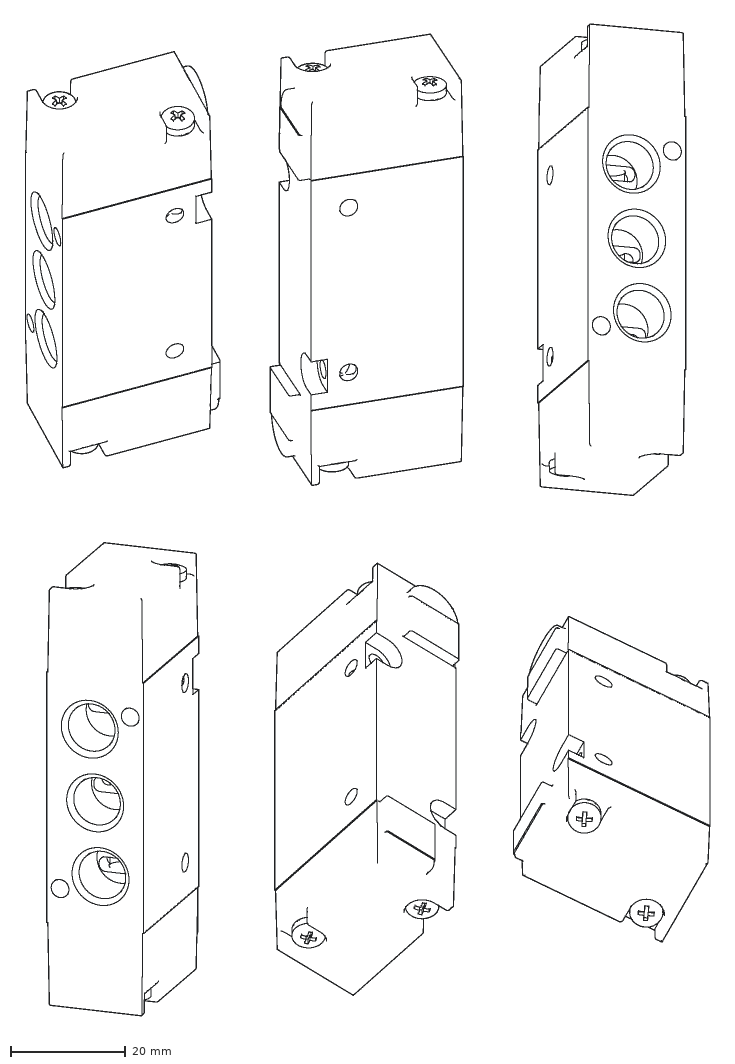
import cadquery as cq
import math

TOTAL_HEIGHT = 77
BODY_WIDTH = 18.1
BODY_DEPTH = 28.0
BODY_HEIGHT = 46.2
TOTAL_DEPTH = 30
FRONT_Y = -TOTAL_DEPTH / 2
BACK_Y = FRONT_Y + BODY_DEPTH
MID_Y = (FRONT_Y + BACK_Y) / 2

CAP_HEIGHT = (TOTAL_HEIGHT - BODY_HEIGHT) / 2
CAP_WIDTH = 17.7
CAP_DRAFT = 0.8
DRAFT_SHIFT = CAP_HEIGHT * math.tan(math.radians(CAP_DRAFT))
CAP_EDGE_FILLET = 0.4

SCREW_X = 5.5
SCREW_Y = 9.0
RECESS_RADIUS = 3.15
RECESS_DEPTH = 3.55
RECESS_FILLET = 0.55
HEAD_RADIUS = 2.9
HEAD_RIM_HEIGHT = 1.55
HEAD_HEIGHT = 2.3
CROSS_LENGTH = 2.8
CROSS_WIDTH = 0.7
CROSS_DEPTH = 1.4
CROSS_ANGLE = 23

PAD_THICKNESS = TOTAL_DEPTH - BODY_DEPTH
PAD_OUTER_X = -8.25
PAD_HEIGHT = 9.0
LUG_RADIUS = 5.55
LUG_THICKNESS = 1.8
LUG_X = PAD_OUTER_X + LUG_RADIUS
PAD_FILLET = 0.4
PAD_ROOT_FILLET = 0.3

PORT_DIAMETER = 8.7
PORT_MOUTH_DIAMETER = 10.6
PORT_CHAMFER = (PORT_MOUTH_DIAMETER - PORT_DIAMETER) / 2
PORT_DEPTH = 10
SLIVER = 0.001
PORT_PITCH = 13.5
PORT_SHIFT = 1.0

SLOT_LENGTH = 7.85
SLOT_HEIGHT = 2.7
SLOT_CORNER = 1.15
SLOT_PITCH = 14.6
SPOOL_RADIUS = 2.4

HOLE_DIAMETER = 3.3
HOLE_Z = 16.55
HOLE_X = 6.55
SIDE_HOLE_Y = FRONT_Y + 21.1
SPOT_WIDTH = 6.6
SPOT_DEPTH = 3.0


def y_cylinder(diameter, x, z, start, length):
    """Cylinder along +Y from the plane y = start."""
    plane = cq.Workplane("XZ", origin=(x, start, z))
    return plane.circle(diameter / 2).extrude(-length)


def screw_recess(side):
    """U-shaped pocket in the top of the cap, open to the side face."""
    run_out = BODY_WIDTH
    floor = TOTAL_HEIGHT / 2 - RECESS_DEPTH
    base = cq.Workplane("XY", origin=(side * SCREW_X, side * SCREW_Y, floor))
    channel = base.center(side * run_out / 2, 0).rect(run_out, 2 * RECESS_RADIUS).extrude(RECESS_DEPTH)
    return base.circle(RECESS_RADIUS).extrude(RECESS_DEPTH).union(channel)


def recess_mouth(side):
    """Selector for the rim of a recess, on the top face and on the side face."""
    margin = 0.1
    top = TOTAL_HEIGHT / 2
    wall_y = MID_Y + side * SCREW_Y
    reach = RECESS_RADIUS + margin
    far_corner = (side * BODY_WIDTH, wall_y + reach, top + margin)
    rim_corner = (side * (SCREW_X - reach), wall_y - reach, top - margin)
    side_corner = (side * (CAP_WIDTH / 2 - 2 * DRAFT_SHIFT), wall_y - reach, top - RECESS_DEPTH - margin)
    rim = cq.selectors.BoxSelector(rim_corner, far_corner)
    side_opening = cq.selectors.BoxSelector(side_corner, far_corner)
    return rim + side_opening


def screw_head(side):
    """Domed screw head with a cross recess, standing on the pocket floor."""
    dome_height = HEAD_HEIGHT - HEAD_RIM_HEIGHT
    sphere_radius = (HEAD_RADIUS**2 + dome_height**2) / (2 * dome_height)
    middle = HEAD_RADIUS / 2
    middle_height = HEAD_HEIGHT - sphere_radius + math.sqrt(sphere_radius**2 - middle**2)
    head = (
        cq.Workplane("XZ")
        .lineTo(HEAD_RADIUS, 0)
        .lineTo(HEAD_RADIUS, HEAD_RIM_HEIGHT)
        .threePointArc((middle, middle_height), (0, HEAD_HEIGHT))
        .close()
        .revolve(360, (0, 0, 0), (0, 1, 0))
    )
    cross_base = cq.Workplane("XY", origin=(0, 0, HEAD_HEIGHT - CROSS_DEPTH))
    for angle in (CROSS_ANGLE, CROSS_ANGLE + 90):
        arm = cross_base.rect(CROSS_LENGTH, CROSS_WIDTH).extrude(CROSS_DEPTH)
        head = head.cut(arm.rotate((0, 0, 0), (0, 0, 1), angle))
    return head.translate((side * SCREW_X, side * SCREW_Y, TOTAL_HEIGHT / 2 - RECESS_DEPTH))


def back_pad():
    """Rectangular pad with a round lug above it, both rooted inside the cap."""
    root = 1.55
    pad = (
        cq.Workplane("XY", origin=(LUG_X, BACK_Y - root, BODY_HEIGHT / 2))
        .box(2 * LUG_RADIUS, PAD_THICKNESS + root, PAD_HEIGHT, centered=(True, False, False))
        .edges("|Z and >Y")
        .fillet(PAD_FILLET)
    )
    lug_z = BODY_HEIGHT / 2 + PAD_HEIGHT
    lug = y_cylinder(2 * LUG_RADIUS, LUG_X, lug_z, BACK_Y - root, LUG_THICKNESS + root)
    return pad.union(lug.faces(">Y").edges().fillet(PAD_FILLET))


def pad_root():
    """Selector for the edges where the pad and lug meet the back of the cap."""
    margin = 0.1
    bottom = BODY_HEIGHT / 2 + margin
    reach = LUG_RADIUS + margin
    return cq.selectors.BoxSelector(
        (LUG_X - reach, BACK_Y - 2 * DRAFT_SHIFT, bottom),
        (LUG_X + reach, BACK_Y - margin / 2, bottom + PAD_HEIGHT + LUG_RADIUS),
    )


def top_cap():
    """Drafted upper cap with its screws and back pad."""
    cap = (
        cq.Workplane("XY", origin=(0, MID_Y, BODY_HEIGHT / 2))
        .rect(CAP_WIDTH, BODY_DEPTH)
        .extrude(CAP_HEIGHT, taper=CAP_DRAFT)
    )
    for side in (-1, 1):
        cap = cap.cut(screw_recess(side).translate((0, MID_Y, 0)))
        cap = cap.edges(recess_mouth(side)).fillet(RECESS_FILLET)
    cap = cap.faces(">Z").edges(">X or <X or >Y or <Y").fillet(CAP_EDGE_FILLET)
    cap = cap.union(back_pad())
    cap = cap.edges(pad_root()).fillet(PAD_ROOT_FILLET)
    for side in (-1, 1):
        cap = cap.union(screw_head(side).translate((0, MID_Y, 0)))
    return cap


def port(level):
    """Chamfered front port and its slot; level is -1, 0 or 1 going up."""
    x = -level * PORT_SHIFT
    bore = y_cylinder(PORT_DIAMETER, x, level * PORT_PITCH, FRONT_Y, PORT_DEPTH)
    mouth = y_cylinder(PORT_MOUTH_DIAMETER, x, level * PORT_PITCH, FRONT_Y, PORT_CHAMFER)
    mouth = mouth.faces(">Y").chamfer(PORT_CHAMFER - SLIVER)
    slot_start = FRONT_Y + PORT_DEPTH
    slot = (
        cq.Workplane("XY", origin=(x, slot_start, level * SLOT_PITCH))
        .box(SLOT_LENGTH, MID_Y - slot_start, SLOT_HEIGHT, centered=(True, False, True))
        .edges("|Y")
        .fillet(SLOT_CORNER)
    )
    groove = (
        cq.Workplane("XY", origin=(0, MID_Y, level * SLOT_PITCH - SLOT_HEIGHT / 2))
        .circle(SPOOL_RADIUS)
        .extrude(SLOT_HEIGHT)
    )
    return bore.union(mouth).union(slot).union(groove)


def mounting_holes(side):
    """One hole through the width and one through the depth, with its spot face."""
    z = side * HOLE_Z
    across = (
        cq.Workplane("YZ", origin=(-BODY_WIDTH / 2, SIDE_HOLE_Y, z))
        .circle(HOLE_DIAMETER / 2)
        .extrude(BODY_WIDTH)
    )
    through = y_cylinder(HOLE_DIAMETER, side * HOLE_X, z, FRONT_Y, BODY_DEPTH)
    spot = y_cylinder(SPOT_WIDTH, side * HOLE_X, z, BACK_Y - SPOT_DEPTH, SPOT_DEPTH)
    run_out_center = (side * (HOLE_X + SPOT_WIDTH / 2), BACK_Y - SPOT_DEPTH / 2, z)
    run_out = cq.Workplane("XY", origin=run_out_center).box(SPOT_WIDTH, SPOT_DEPTH, SPOT_WIDTH)
    return across.union(through).union(spot).union(run_out)


body = cq.Workplane("XY", origin=(0, MID_Y, 0)).box(BODY_WIDTH, BODY_DEPTH, BODY_HEIGHT)
for level in (-1, 0, 1):
    body = body.cut(port(level))
for side in (-1, 1):
    body = body.cut(mounting_holes(side))

cap = top_cap()
result = body.union(cap).union(cap.rotate((0, 0, 0), (0, 1, 0), 180))